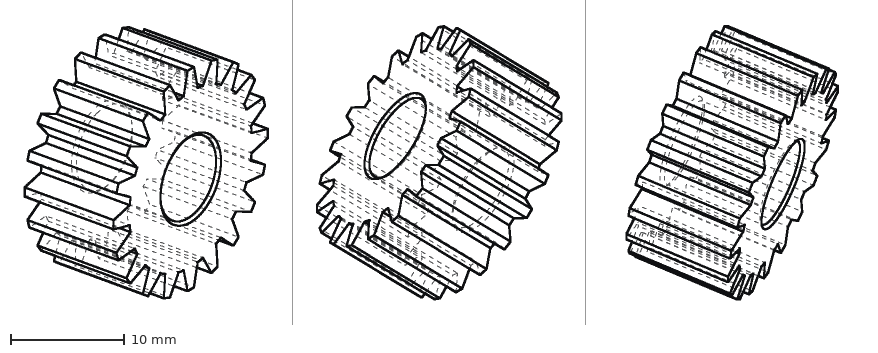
import cadquery as cq
import math

face_width = 10.0
tooth_count = 20
tip_radius = 11.0
root_radius = 8.75
tip_width = 0.92
root_width = 2.0

bore_diameter = 8.0
bore_chamfer = 0.3


def gear_blank():
    """Gear body: straight tooth flanks and tips, root-circle arcs between the teeth."""
    root_half_angle = math.asin(root_width / 2 / root_radius)
    pitch_angle = 2 * math.pi / tooth_count

    def point(along, across, angle):
        """Point of a tooth, from its distance along and across the tooth's centreline."""
        return (
            along * math.cos(angle) - across * math.sin(angle),
            along * math.sin(angle) + across * math.cos(angle),
        )

    root_height = root_radius * math.cos(root_half_angle)
    outline = cq.Workplane("YZ").moveTo(*point(root_height, -root_width / 2, 0))
    for tooth in range(tooth_count):
        angle = tooth * pitch_angle
        gap_middle = point(root_radius, 0, angle + pitch_angle / 2)
        next_root = point(root_height, -root_width / 2, angle + pitch_angle)
        outline = (
            outline.lineTo(*point(tip_radius, -tip_width / 2, angle))
            .lineTo(*point(tip_radius, tip_width / 2, angle))
            .lineTo(*point(root_height, root_width / 2, angle))
            .threePointArc(gap_middle, next_root)
        )
    return outline.close().extrude(face_width / 2, both=True)


def chamfered_bore():
    """Cutter for the through bore, flared at 45 degrees at both end faces."""
    bore_radius = bore_diameter / 2
    mouth_radius = bore_radius + bore_chamfer
    half_width = face_width / 2
    chamfer_start = half_width - bore_chamfer
    half_section = [
        (-half_width, 0),
        (-half_width, mouth_radius),
        (-chamfer_start, bore_radius),
        (chamfer_start, bore_radius),
        (half_width, mouth_radius),
        (half_width, 0),
    ]
    return cq.Workplane("XY").polyline(half_section).close().revolve(360, (0, 0), (1, 0))


result = gear_blank().cut(chamfered_bore())